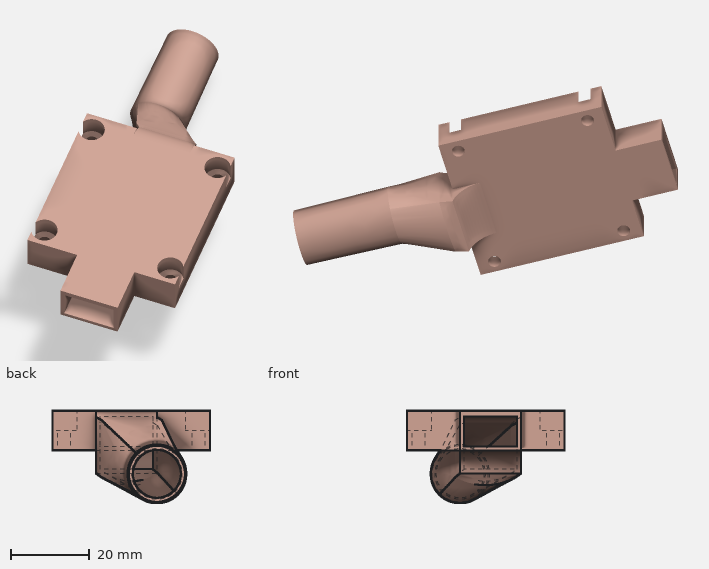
import cadquery as cq
import math

body_width = 40.0
body_length = 42.9
body_height = 10.1

duct_left = 13.5
duct_width = 15.5
duct_right = duct_left + duct_width
inlet_length = 12.1
wall = 1.0
top_wall = 1.4

elbow_top_start = 40.4
elbow_bottom_start = 35.7
elbow_top_end = (44.65, 8.5)
elbow_top_middle = (42.9, 9.5)
elbow_bottom_end = (42.9, -5.8)
elbow_bottom_middle = (40.5, -1.9)

shoulder_y = 46.1
shoulder_left = 12.3
shoulder_right = 27.55
shoulder_top = 7.7
shoulder_corner_z = -6.8
shoulder_bottom = -8.8

overall_length = 95.0
tube_length = 25.0
tube_root_radius = 7.46
tube_end_radius = 7.1
tube_x = duct_left
tube_z = -5.94
tube_end_y = overall_length - inlet_length
tube_root_y = tube_end_y - tube_length

screw_inset_x = 2.9
screw_inset_y = 4.5
screw_diameter = 3.2
counterbore_diameter = 6.65
counterbore_depth = 5.0


def box(left, right, front, back, bottom, top):
    """Axis-aligned box between the given limits."""
    size = (right - left, back - front, top - bottom)
    return cq.Workplane("XY").box(*size, centered=False).translate((left, front, bottom))


def extrude_side(outline, left, right):
    """Extrude a closed YZ outline from left to right."""
    return outline.close().extrude(right - left).translate((left, 0, 0))


def four_sided_wire(corners, middles):
    """Closed wire with one edge per side; a side with a middle point is an arc."""
    edges = []
    for index, middle in enumerate(middles):
        start = cq.Vector(*corners[index])
        end = cq.Vector(*corners[(index + 1) % len(corners)])
        if middle is None:
            edges.append(cq.Edge.makeLine(start, end))
        else:
            edges.append(cq.Edge.makeThreePointArc(start, cq.Vector(*middle), end))
    return cq.Wire.assembleEdges(edges)


def elbow(inset, top_inset):
    """Bend of the duct, shrunk by the given wall thicknesses."""
    top_y, top_z = elbow_top_end
    bottom_y, bottom_z = elbow_bottom_end
    mid_top_y, mid_top_z = elbow_top_middle
    mid_bottom_y, mid_bottom_z = elbow_bottom_middle
    outline = (
        cq.Workplane("YZ")
        .moveTo(elbow_bottom_start, inset)
        .lineTo(elbow_bottom_start, body_height - top_inset)
        .lineTo(elbow_top_start, body_height - top_inset)
        .threePointArc((mid_top_y, mid_top_z - top_inset), (top_y, top_z - top_inset))
        .lineTo(bottom_y, bottom_z + inset)
        .threePointArc((mid_bottom_y, mid_bottom_z + inset), (elbow_bottom_start, inset))
    )
    return extrude_side(outline, duct_left + inset, duct_right - inset)


def transition(inset, top_inset):
    """Loft from the elbow mouth over the rounded shoulder to the tube root."""
    left = duct_left + inset
    right = duct_right - inset
    top_y, top_z = elbow_top_end
    bottom_y, bottom_z = elbow_bottom_end
    mouth = four_sided_wire(
        [
            (left, top_y, top_z - top_inset),
            (right, top_y, top_z - top_inset),
            (right, bottom_y, bottom_z + inset),
            (left, bottom_y, bottom_z + inset),
        ],
        [None] * 4,
    )

    left = shoulder_left + inset
    right = shoulder_right - inset
    top = shoulder_top - top_inset
    corner = shoulder_corner_z + inset
    shoulder = four_sided_wire(
        [
            (left, shoulder_y, top),
            (right, shoulder_y, top),
            (right, shoulder_y, corner),
            (left, shoulder_y, corner),
        ],
        [None, None, ((left + right) / 2, shoulder_y, shoulder_bottom + inset), None],
    )

    radius = tube_root_radius - inset

    def on_circle(degrees):
        angle = math.radians(degrees)
        return (tube_x + radius * math.cos(angle), tube_root_y, tube_z + radius * math.sin(angle))

    root = four_sided_wire(
        [on_circle(angle) for angle in (135, 45, -45, -135)],
        [on_circle(angle) for angle in (90, 0, -90, 180)],
    )
    return cq.Workplane(cq.Solid.makeLoft([mouth, shoulder, root], True))


def tube(inset):
    """Tapered outlet tube, shrunk by the wall thickness."""
    return cq.Workplane(
        cq.Solid.makeCone(
            tube_root_radius - inset,
            tube_end_radius - inset,
            tube_length,
            cq.Vector(tube_x, tube_root_y, tube_z),
            cq.Vector(0, 1, 0),
        )
    )


def top_recess():
    """Material above the curved elbow roof at the back edge of the body."""
    outline = (
        cq.Workplane("YZ")
        .moveTo(elbow_top_start, body_height)
        .threePointArc(elbow_top_middle, elbow_top_end)
        .lineTo(elbow_top_end[0], body_height)
    )
    return extrude_side(outline, duct_left, duct_right)


outer = box(0, body_width, 0, body_length, 0, body_height)
outer = outer.union(box(duct_left, duct_right, -inlet_length, 0, 0, body_height))
outer = outer.cut(top_recess())
for section in (elbow(0, 0), transition(0, 0), tube(0)):
    outer = outer.union(section)

passage = box(
    duct_left + wall,
    duct_right - wall,
    -inlet_length,
    elbow_bottom_start,
    wall,
    body_height - top_wall,
)
for section in (elbow(wall, top_wall), transition(wall, top_wall), tube(wall)):
    passage = passage.union(section)

screw_points = [
    (x, y)
    for x in (screw_inset_x, body_width - screw_inset_x)
    for y in (screw_inset_y, body_length - screw_inset_y)
]
result = (
    outer.cut(passage)
    .faces(">Z")
    .workplane(origin=(0, 0, body_height))
    .pushPoints(screw_points)
    .cboreHole(screw_diameter, counterbore_diameter, counterbore_depth)
)